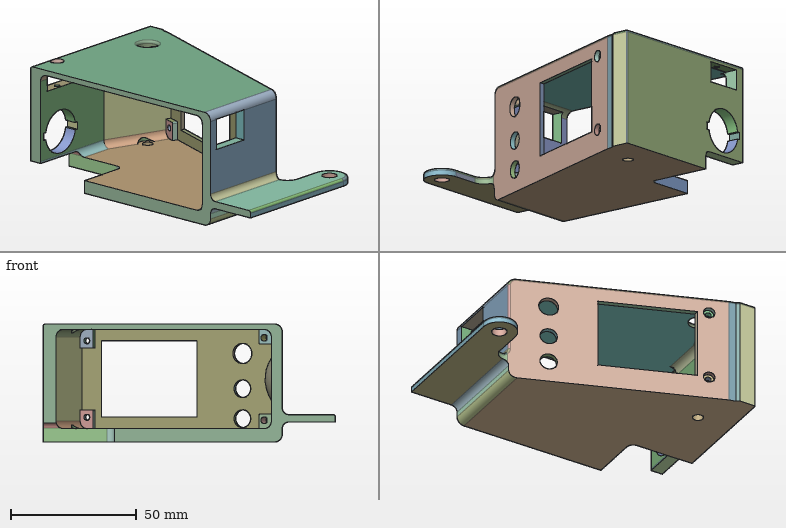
import cadquery as cq
import math

TOTAL_LENGTH = 116.45
TOTAL_DEPTH = 72.2
HEIGHT = 47.1

BODY_LENGTH = 95.3
BACK_ANGLE = 20.0
BACK_Y_AT_RIGHT = 40.1
BACK_FLAT_LENGTH = 7.2
STEP_X = 8.5
STEP_Y = 71.3
SLOPE_START_X = 11.4
SIDE_ROUND = 3.2
TOP_ROUND = 1.0
BACK_CORNER_ROUND = 0.4

LEFT_WALL = 5.2
RIGHT_WALL = 4.4
FLOOR = 5.36
ROOF = 2.2
BACK_WALL = 2.1
CAVITY_ROUND = 3.0
CAVITY_CORNER_X = 15.6

LEFT_PILLAR_RISE = 2.3
RIGHT_PILLAR_RISE = 5.2
PILLAR_CORNER = 0.5
PILLAR_REACH = 8.0
LEFT_PILLAR_END_X = 20.0
LEFT_PILLAR_HEIGHT = 7.5
RIGHT_PILLAR_START_X = 86.0
RIGHT_PILLAR_HEIGHT = 5.9
LEFT_SCREW_X = 17.4
LEFT_SCREW_INSET = 4.55
LEFT_SCREW_DIAMETER = 2.4
LEFT_SCREW_HEAD = 4.6
LEFT_SCREW_HEAD_DEPTH = 2.0
RIGHT_SCREW_X = 88.0
RIGHT_SCREW_INSET = 3.35
RIGHT_SCREW_DIAMETER = 2.6
RIGHT_SCREW_DEPTH = 6.0

WINDOW_X = 23.3
WINDOW_LENGTH = 38.0
WINDOW_BOTTOM = 10.1
WINDOW_HEIGHT = 30.2
BUTTON_X = 79.35
BUTTON_HOLES = [(35.3, 8.0), (21.3, 7.0), (9.35, 7.0)]

LEFT_SLOT_FRONT = 4.1
LEFT_SLOT_LENGTH = 15.7
LEFT_SLOT_BOTTOM = 36.8
LEFT_SLOT_TOP = 45.1
RIGHT_SLOT_FRONT = 3.6
RIGHT_SLOT_LENGTH = 16.7
RIGHT_SLOT_BOTTOM = 31.4
RIGHT_SLOT_TOP = 44.0
SOCKET_Y = 12.15
SOCKET_Z = 18.2
SOCKET_DIAMETER = 18.0
SOCKET_KEY_LENGTH = 20.1
SOCKET_KEY_HEIGHT = 3.0

CLAMP_X = 3.2
CLAMP_Y = 12.3
CLAMP_DIAMETER = 2.2
CLAMP_HEAD = 5.6
CLAMP_BELOW_SLOT = 4.0

MOUNT_X = 15.3
MOUNT_Y = 53.2
MOUNT_ACCESS = 8.0
MOUNT_RIM_ROUND = 1.1
MOUNT_DIAMETER = 4.3

NOTCH_LENGTH = 28.5
NOTCH_DEPTH = 23.0
NOTCH_HEIGHT = 7.6
NOTCH_SIDE_ROUND = 3.0
NOTCH_TOP_ROUND = 2.0

BOSS_Y = 29.5
BOSS_Z = 25.1
BOSS_RADIUS = 8.4
BOSS_RISE = 2.5

ARM_BOTTOM = 8.0
ARM_THICKNESS = 3.0
ARM_WIDTH = 14.6
ARM_HOLE_Y = 56.0
ARM_HOLE_DIAMETER = 6.1
ARM_INNER_ROUND = 4.6
ARM_ROOT_ROUND = 2.6

SIN = math.sin(math.radians(BACK_ANGLE))
COS = math.cos(math.radians(BACK_ANGLE))
TAN = SIN / COS
TOLERANCE = 0.01


def back_y(x, offset=0.0):
    """Y of the inclined back plane at x, moved inward by a normal offset."""
    return BACK_Y_AT_RIGHT + (BODY_LENGTH - x) * TAN - offset / COS


def back_plane(x, z, offset):
    """Plane on the inclined back wall; its local Y is up and its normal points inward."""
    return cq.Plane(
        origin=(x, back_y(x, offset), z), xDir=(COS, -SIN, 0), normal=(-SIN, -COS, 0)
    )


def block(x, y, z, dx, dy, dz):
    """Box given by its lowest corner and its sides."""
    return cq.Workplane().box(dx, dy, dz, centered=False).translate((x, y, z))


def plan_outline():
    """Outline of the whole part in plan; the inclined back runs smoothly into the arm."""
    arm_left = TOTAL_LENGTH - ARM_WIDTH
    arm_middle = TOTAL_LENGTH - ARM_WIDTH / 2
    bend_x = arm_left - ARM_INNER_ROUND
    bend_start_x = bend_x - ARM_INNER_ROUND * SIN
    bend_y = back_y(bend_start_x) + ARM_INNER_ROUND * COS
    return (
        cq.Workplane()
        .lineTo(TOTAL_LENGTH, 0)
        .lineTo(TOTAL_LENGTH, ARM_HOLE_Y)
        .threePointArc((arm_middle, ARM_HOLE_Y + ARM_WIDTH / 2), (arm_left, ARM_HOLE_Y))
        .lineTo(arm_left, bend_y)
        .radiusArc((bend_start_x, back_y(bend_start_x)), ARM_INNER_ROUND)
        .lineTo(SLOPE_START_X, back_y(SLOPE_START_X))
        .lineTo(STEP_X, STEP_Y)
        .lineTo(BACK_FLAT_LENGTH, TOTAL_DEPTH)
        .lineTo(0, TOTAL_DEPTH)
        .close()
    )


def front_profile():
    """Body and arm as seen along Y, swept over the full depth."""
    body = block(0, 0, 0, BODY_LENGTH, TOTAL_DEPTH, HEIGHT)
    body = body.faces(">X").edges("|Y").fillet(SIDE_ROUND)
    arm_start = BODY_LENGTH - RIGHT_WALL
    arm = block(arm_start, 0, ARM_BOTTOM, TOTAL_LENGTH - arm_start, TOTAL_DEPTH, ARM_THICKNESS)
    roots = cq.selectors.BoxSelector(
        (BODY_LENGTH - TOLERANCE, -1, ARM_BOTTOM - TOLERANCE),
        (BODY_LENGTH + TOLERANCE, TOTAL_DEPTH, ARM_BOTTOM + ARM_THICKNESS + TOLERANCE),
    )
    return body.union(arm).edges(roots).edges("|Y").fillet(ARM_ROOT_ROUND)


def rounded_shell():
    solid = front_profile().intersect(plan_outline().extrude(HEIGHT))
    solid = solid.edges("|Z and <X and >Y").fillet(BACK_CORNER_ROUND)
    rim = [edge for edge in solid.edges().vals() if is_rounded_rim(edge)]
    return solid.newObject(rim).fillet(TOP_ROUND)


def is_rounded_rim(edge):
    """True for the upper edges that run along the left side, the back and round the arm."""
    box = edge.BoundingBox()
    on_upper_side = box.zmin > ARM_BOTTOM + ARM_THICKNESS - TOLERANCE
    upright_corner = box.xmax < BODY_LENGTH - SIDE_ROUND and box.zmax - box.zmin > TOLERANCE
    along_front = box.ymax < TOLERANCE
    runs_along_y = box.xmax - box.xmin < TOLERANCE and box.ymin < TOLERANCE
    inner_seam = runs_along_y and TOLERANCE < box.xmin < TOTAL_LENGTH - TOLERANCE
    return on_upper_side and not (upright_corner or along_front or inner_seam)


def pillar(free_x, side, rise, bottom, top):
    """Pillar on the back wall, running from its free side (side = +1 right, -1 left) into the end wall."""
    tip = back_plane(free_x, bottom, BACK_WALL + rise)
    width = -side * PILLAR_REACH
    post = (
        cq.Workplane(tip)
        .center(width / 2, (top - bottom) / 2)
        .rect(PILLAR_REACH, top - bottom)
        .extrude(-rise - BACK_WALL / 2)
    )
    return post.edges(cq.selectors.ParallelDirSelector(tip.zDir)).fillet(PILLAR_CORNER)


def cavity():
    top = HEIGHT - ROOF
    right = BODY_LENGTH - RIGHT_WALL
    corner_y = back_y(CAVITY_CORNER_X, BACK_WALL)
    outline = [
        (LEFT_WALL, 0),
        (right, 0),
        (right, back_y(right, BACK_WALL)),
        (CAVITY_CORNER_X, corner_y),
        (LEFT_WALL, corner_y - (CAVITY_CORNER_X - LEFT_WALL) / TAN),
    ]
    space = cq.Workplane(origin=(0, 0, FLOOR)).polyline(outline).close().extrude(top - FLOOR)
    left_edges = cq.selectors.BoxSelector((0, 0, 0), (CAVITY_CORNER_X - 1, TOTAL_DEPTH, HEIGHT))
    right_edges = cq.selectors.BoxSelector((right - 1, 1, 0), (right + 1, TOTAL_DEPTH, HEIGHT))
    space = space.edges(left_edges + right_edges).edges("#Z").fillet(CAVITY_ROUND)

    for free_x, side, rise, height in (
        (LEFT_PILLAR_END_X, 1, LEFT_PILLAR_RISE, LEFT_PILLAR_HEIGHT),
        (RIGHT_PILLAR_START_X, -1, RIGHT_PILLAR_RISE, RIGHT_PILLAR_HEIGHT),
    ):
        space = space.cut(pillar(free_x, side, rise, FLOOR - PILLAR_CORNER, FLOOR + height))
        space = space.cut(pillar(free_x, side, rise, top - height, top + PILLAR_CORNER))
    return space.cut(boss())


def boss():
    """Spherical cap standing on the inside of the right wall."""
    radius = (BOSS_RADIUS**2 + BOSS_RISE**2) / (2 * BOSS_RISE)
    right = BODY_LENGTH - RIGHT_WALL
    return cq.Workplane().sphere(radius).translate((right - BOSS_RISE + radius, BOSS_Y, BOSS_Z))


def back_hole(x, z, diameter, offset, depth):
    """Round hole square to the back wall, starting at a normal offset inside it."""
    return cq.Workplane(back_plane(x, z, offset)).circle(diameter / 2).extrude(-depth)


def left_screw_hole(z, tip):
    """Screw hole through a left pillar, with a counterbore for the head on the outside of the wall."""
    screw = back_hole(LEFT_SCREW_X, z, LEFT_SCREW_DIAMETER, tip, 2 * tip)
    head_x = LEFT_SCREW_X + (tip - LEFT_SCREW_HEAD_DEPTH) * SIN
    return screw.union(back_hole(head_x, z, LEFT_SCREW_HEAD, LEFT_SCREW_HEAD_DEPTH, tip))


def back_openings():
    tools = block(WINDOW_X, BACK_Y_AT_RIGHT, WINDOW_BOTTOM, WINDOW_LENGTH, TOTAL_DEPTH, WINDOW_HEIGHT)
    for z, diameter in BUTTON_HOLES:
        tools = tools.union(back_hole(BUTTON_X, z, diameter, BACK_WALL, 2 * BACK_WALL))
    top = HEIGHT - ROOF
    left_tip = BACK_WALL + LEFT_PILLAR_RISE
    for z in (FLOOR + LEFT_SCREW_INSET, top - LEFT_SCREW_INSET):
        tools = tools.union(left_screw_hole(z, left_tip))
    right_tip = BACK_WALL + RIGHT_PILLAR_RISE
    for z in (FLOOR + RIGHT_SCREW_INSET, top - RIGHT_SCREW_INSET):
        tools = tools.union(back_hole(RIGHT_SCREW_X, z, RIGHT_SCREW_DIAMETER, right_tip, RIGHT_SCREW_DEPTH))
    return tools


def left_slot():
    """Slot in the left wall; inside the cavity it clears the roof fillet but not the roof."""
    height = LEFT_SLOT_TOP - LEFT_SLOT_BOTTOM
    inner_height = HEIGHT - ROOF - LEFT_SLOT_BOTTOM
    wall = block(0, LEFT_SLOT_FRONT, LEFT_SLOT_BOTTOM, LEFT_WALL, LEFT_SLOT_LENGTH, height)
    inner = block(LEFT_WALL, LEFT_SLOT_FRONT, LEFT_SLOT_BOTTOM, CAVITY_ROUND, LEFT_SLOT_LENGTH, inner_height)
    return wall.union(inner)


def right_slot():
    """Slot through the right wall and the part of the roof fillet beside it."""
    thickness = RIGHT_WALL + CAVITY_ROUND
    height = RIGHT_SLOT_TOP - RIGHT_SLOT_BOTTOM
    start = BODY_LENGTH - thickness
    return block(start, RIGHT_SLOT_FRONT, RIGHT_SLOT_BOTTOM, thickness, RIGHT_SLOT_LENGTH, height)


def socket_hole():
    """Round opening in the left wall with a key slot on both sides."""
    centre = cq.Workplane("YZ", origin=(0, SOCKET_Y, SOCKET_Z))
    hole = centre.circle(SOCKET_DIAMETER / 2).extrude(LEFT_WALL)
    keys = centre.rect(SOCKET_KEY_LENGTH, SOCKET_KEY_HEIGHT).extrude(LEFT_WALL)
    return hole.union(keys)


def side_openings():
    return left_slot().union(right_slot()).union(socket_hole())


def vertical_cylinder(x, y, diameter, bottom, top):
    return cq.Workplane(origin=(x, y, bottom)).circle(diameter / 2).extrude(top - bottom)


def countersink(x, y, diameter, rim):
    """45 degree cone opening upward to the rim diameter at the roof."""
    depth = (rim - diameter) / 2
    return (
        cq.Workplane(origin=(x, y, HEIGHT))
        .circle(rim / 2)
        .workplane(offset=-depth)
        .circle(diameter / 2)
        .loft()
    )


def mount_hole():
    """Hole with a rounded upper rim that opens the cavity from above, and a smaller hole in the floor."""
    access_radius = MOUNT_ACCESS / 2
    shape = (
        cq.Workplane("XZ")
        .lineTo(MOUNT_DIAMETER / 2, 0)
        .lineTo(MOUNT_DIAMETER / 2, FLOOR)
        .lineTo(access_radius, FLOOR)
        .lineTo(access_radius, HEIGHT - MOUNT_RIM_ROUND)
        .radiusArc((access_radius + MOUNT_RIM_ROUND, HEIGHT), MOUNT_RIM_ROUND)
        .lineTo(0, HEIGHT)
        .close()
    )
    return shape.revolve(360, (0, 0), (0, 1)).translate((MOUNT_X, MOUNT_Y, 0))


def vertical_holes():
    tools = mount_hole()
    clamp_bottom = LEFT_SLOT_BOTTOM - CLAMP_BELOW_SLOT
    tools = tools.union(vertical_cylinder(CLAMP_X, CLAMP_Y, CLAMP_DIAMETER, clamp_bottom, HEIGHT))
    tools = tools.union(countersink(CLAMP_X, CLAMP_Y, CLAMP_DIAMETER, CLAMP_HEAD))
    arm_hole_x = TOTAL_LENGTH - ARM_WIDTH / 2
    return tools.union(vertical_cylinder(arm_hole_x, ARM_HOLE_Y, ARM_HOLE_DIAMETER, 0, HEIGHT / 2))


def notch():
    tool = block(-1, -1, -1, NOTCH_LENGTH + 1, NOTCH_DEPTH + 1, NOTCH_HEIGHT + 1)
    tool = tool.edges("|Z and >X and >Y").fillet(NOTCH_SIDE_ROUND)
    return tool.faces(">Z").edges("|X and >Y").fillet(NOTCH_TOP_ROUND)


result = (
    rounded_shell()
    .cut(cavity())
    .cut(notch())
    .cut(back_openings())
    .cut(side_openings())
    .cut(vertical_holes())
)